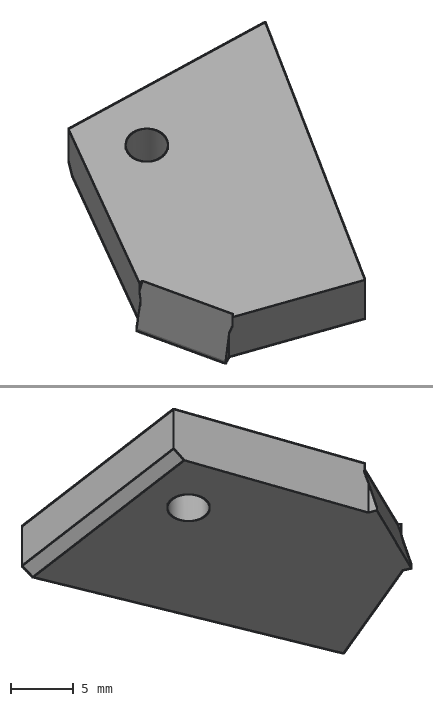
import cadquery as cq
import math

length = 26.25
width = 24.25
thickness = 5.0
side_angle = 15.0
edge_chamfer = 0.9

hole_diameter = 3.39
hole_x = 4.95
hole_y = 9.27

tip_angle = 30.0
tip_middle_x = 20.25
tip_half_edge = 3.95
land_height = 0.35
slope_setback = 1.23

seat_half_width = 4.12
seat_setback = 0.95
neck_setback = 0.74
slope_top_half_width = 4.0

along_x = math.cos(math.radians(tip_angle))
along_y = math.sin(math.radians(tip_angle))
tip_middle_y = tip_half_edge * along_y

apex_distance = seat_half_width - seat_setback
neck_half_width = apex_distance + neck_setback


def tip_point(along, back):
    """Plan position from distances along and behind the cutting edge."""
    return (
        tip_middle_x + along * along_x - back * along_y,
        tip_middle_y + along * along_y + back * along_x,
    )


def make_plate():
    """Plate with the flared tip, before the tip face is sloped."""
    apex_x, apex_y = tip_point(0, -apex_distance)
    side_slope = math.tan(math.radians(side_angle))
    lower_left = (0, apex_y + apex_x * side_slope)
    right_corner = (length, apex_y + (length - apex_x) / side_slope)
    tip_side = [
        (neck_half_width, neck_setback),
        (tip_half_edge, 0),
    ]
    left_side = [tip_point(-half, back) for half, back in tip_side]
    right_side = [tip_point(half, back) for half, back in reversed(tip_side)]
    outline = [(0, width), lower_left] + left_side + right_side + [right_corner]
    return cq.Workplane("XY").polyline(outline).close().extrude(thickness)


def make_slope_cutter():
    """Wedge in front of the sloping tip face, bounded by the seat sides."""
    middle = tip_point(0, 0)
    plane = cq.Plane(
        origin=(middle[0], middle[1], 0),
        xDir=(along_y, -along_x, 0),
        normal=(-along_x, -along_y, 0),
    )
    wedge = (
        cq.Workplane(plane)
        .moveTo(0, land_height)
        .lineTo(-slope_setback, thickness)
        .lineTo(0, thickness)
        .close()
        .extrude(seat_half_width, both=True)
    )
    seat = [
        tip_point(-slope_top_half_width, slope_setback),
        tip_point(-seat_half_width, seat_setback),
        tip_point(-seat_half_width, 0),
        tip_point(seat_half_width, 0),
        tip_point(seat_half_width, seat_setback),
        tip_point(slope_top_half_width, slope_setback),
    ]
    return wedge.intersect(cq.Workplane("XY").polyline(seat).close().extrude(thickness))


plate = make_plate().faces("<X").edges("<Z").chamfer(edge_chamfer)
hole = cq.Workplane("XY").center(hole_x, hole_y).circle(hole_diameter / 2).extrude(thickness)
result = plate.cut(hole).cut(make_slope_cutter())